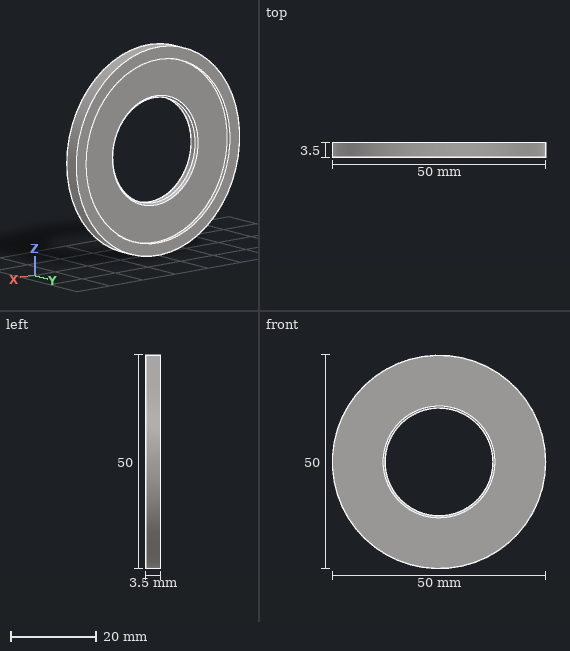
import cadquery as cq

outer_diameter = 50.0
bore_diameter = 25.2
thickness = 3.5
bore_chamfer = 0.5

recess_diameter = 44.0
web_thickness = 2.5
recess_depth = thickness - web_thickness

back_y = thickness / 2


def disc_from_back(diameter, depth):
    """Disc on the part axis, running from the back face toward -Y."""
    return (
        cq.Workplane("XZ", origin=(0, back_y, 0))
        .circle(diameter / 2)
        .extrude(depth)
    )


def recessed_ring():
    """Ring with its bore and the recess in its back face."""
    ring = disc_from_back(outer_diameter, thickness)
    ring = ring.cut(disc_from_back(bore_diameter, thickness))
    return ring.cut(disc_from_back(recess_diameter, recess_depth))


def chamfer_bore(ring):
    """Break the bore edge on both sides of the web."""
    smallest_radius = cq.selectors.RadiusNthSelector(0)
    return ring.edges(smallest_radius).chamfer(bore_chamfer)


result = chamfer_bore(recessed_ring())